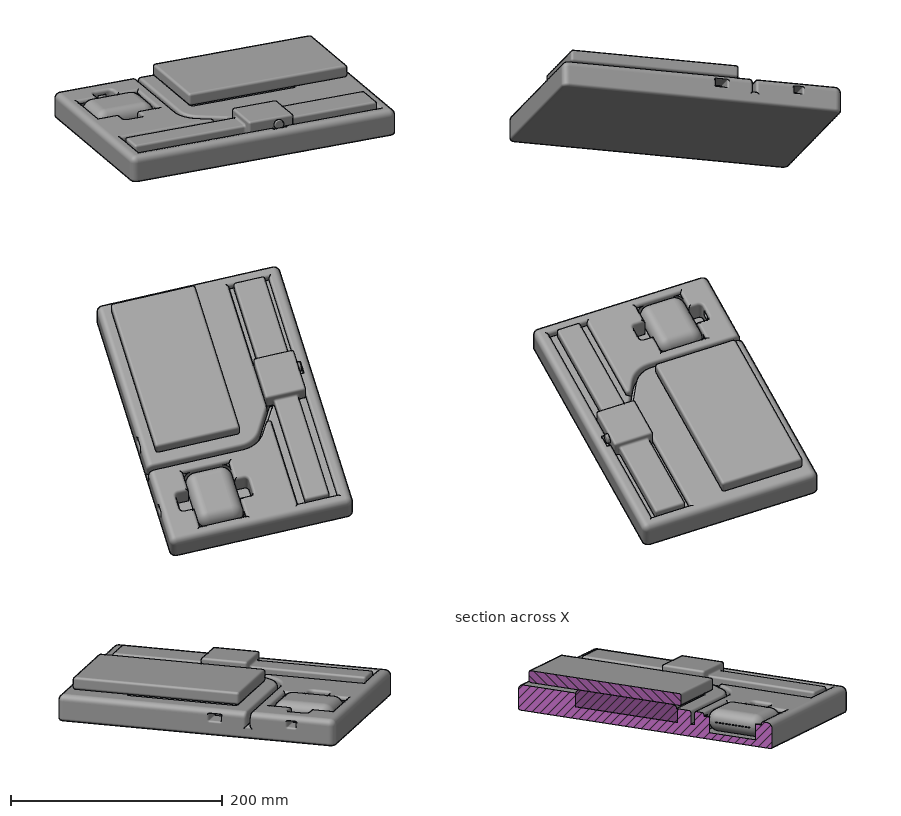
import cadquery as cq
import math

dock_width = 178.5
dock_length = 275.0
dock_height = 25.5
dock_corner_radius = 6.0
dock_bottom_radius = 2.7
tolerance = 0.3
mouth_radius = 2.7

total_height = 40.7
rest_height = 28.5
phone_width = 82.0
phone_length = 165.0
phone_center = (-36.5, 43.5)
phone_radius = 2.5

pack_width = 68.7
pack_length = 109.5
pack_height = 16.5
pack_center = (-35.5, 20.3)
pack_radius = 3.3

earbud_width = 45.0
earbud_length = 60.5
earbud_height = 21.7
earbud_center = (pack_center[0], -94.5)
earbud_radius = 10.7
earbud_bottom = rest_height - earbud_height
earbud_pocket_length = 61.5
seat_mouth_depth = 1.2 * mouth_radius
pocket_corner_radius = 6.5
grip_span = 71.2
grip_width = 20.0
grip_corner_radius = 3.5

watch_width = 39.0
watch_length = 46.2
watch_top = 34.6
watch_center = (57.2, 13.0)
watch_radius = 2.2
strap_end = 125.0
upper_strap_width = 30.0
upper_strap_top = 29.7
lower_strap_width = 23.5
lower_strap_top = 28.3
strap_radius = 2.2
joint_radius = strap_radius - 0.05
slot_depth = 5.5
slot_floor = dock_height - slot_depth

crown_diameter = 9.3
crown_y = 20.0
crown_z = 27.8
crown_end_x = 79.5
crown_radius = 0.8
crown_notch_diameter = 14.0
crown_notch_end_x = 81.0

groove_width = 3.3
groove_depth = 13.2
groove_y = -51.5
groove_bend_x = 3.5
groove_bend_radius = 25.0
groove_bend_angle = 60.0
groove_end_y = -8.2

port_mouth_radius = 2.0
port_corner_radius = 0.8
pack_port_center = (-18.7, 17.5)
pack_port_size = (11.8, 7.1)
earbud_port_center = (-94.5, 18.0)
earbud_port_size = (8.2, 6.3)


def block(width, length, bottom, top, center):
    x, y = center
    return cq.Workplane("XY", origin=(x, y, bottom)).rect(width, length).extrude(top - bottom)


def open_to_top(cutter):
    """Widen a cutter so that it leaves a rounded mouth in the dock's flat top."""
    plate = block(2 * dock_width, 2 * dock_length, 0, dock_height, (0, 0))
    plate_inside = cq.selectors.BoxSelector(
        (-dock_width / 2, -dock_length / 2, 0), (dock_width / 2, dock_length / 2, 2 * dock_height)
    )
    mouth = plate.cut(cutter).faces(">Z").edges(plate_inside)
    return plate.cut(mouth.fillet(mouth_radius))


def open_to_side(cutter):
    """Widen a cutter so that it leaves a rounded mouth in the dock's -X side."""
    plate = block(dock_width, 2 * dock_length, -dock_height, 2 * dock_height, (0, 0))
    plate_inside = cq.selectors.BoxSelector(
        (-dock_width, -dock_length / 2, 0), (0, dock_length / 2, dock_height)
    )
    mouth = plate.cut(cutter).faces("<X").edges(plate_inside)
    return plate.cut(mouth.fillet(port_mouth_radius))


def x_cylinder(diameter, start_x, end_x):
    """A round bar along X on the axis of the watch crown."""
    return (
        cq.Workplane("YZ", origin=(start_x, crown_y, crown_z))
        .circle(diameter / 2)
        .extrude(end_x - start_x)
    )


def dock_blank():
    blank = block(dock_width, dock_length, 0, dock_height, (0, 0))
    blank = blank.edges("|Z or >Z").fillet(dock_corner_radius)
    return blank.faces("<Z").edges().fillet(dock_bottom_radius)


def earbud_pocket():
    mouth_bottom = dock_height - seat_mouth_depth
    seat_mouth = block(earbud_width, earbud_pocket_length, mouth_bottom, dock_height, earbud_center)
    seat = block(earbud_width, earbud_pocket_length, earbud_bottom, dock_height, earbud_center)
    seat = seat.edges("|Z").fillet(pocket_corner_radius)
    grips = block(grip_span, grip_width, earbud_bottom, dock_height, earbud_center)
    grips = grips.edges("|Z").fillet(grip_corner_radius)
    return open_to_top(seat_mouth).union(open_to_top(grips)).union(seat)


def watch_slot():
    return block(watch_width, 2 * strap_end, slot_floor, dock_height, (watch_center[0], 0))


def crown_notch():
    return x_cylinder(crown_notch_diameter, watch_center[0], crown_notch_end_x)


def cable_path():
    angle = math.radians(groove_bend_angle)
    bend_end = (
        groove_bend_x + groove_bend_radius * math.sin(angle),
        groove_y + groove_bend_radius * (1 - math.cos(angle)),
    )
    bend_middle = (
        groove_bend_x + groove_bend_radius * math.sin(angle / 2),
        groove_y + groove_bend_radius * (1 - math.cos(angle / 2)),
    )
    end_x = bend_end[0] + (groove_end_y - bend_end[1]) / math.tan(angle)
    return (
        cq.Workplane("XY", origin=(0, 0, dock_height - groove_depth))
        .moveTo(-dock_width / 2, groove_y)
        .lineTo(groove_bend_x, groove_y)
        .threePointArc(bend_middle, bend_end)
        .lineTo(end_x, groove_end_y)
    )


def cable_groove():
    return cable_path().offset2D(groove_width / 2).extrude(groove_depth)


def with_slot_and_groove(dock):
    """Cut the watch slot and the cable groove, and round every edge of their shared mouth."""
    opened = dock.cut(watch_slot()).cut(cable_groove())
    rim_x = dock_width / 2 - dock_corner_radius
    rim_y = dock_length / 2 - dock_corner_radius
    slot_left = watch_center[0] - watch_width / 2
    top_mouth = opened.faces(">Z").edges(cq.selectors.BoxSelector(
        (tolerance - rim_x, tolerance - rim_y, 0),
        (rim_x - tolerance, rim_y - tolerance, 2 * dock_height),
    ))
    side_mouth = opened.edges(cq.selectors.BoxSelector(
        (-dock_width, groove_y - groove_width, 0),
        (-rim_x - tolerance, groove_y + groove_width, dock_height),
    ))
    groove_in_slot = opened.edges(cq.selectors.BoxSelector(
        (slot_left - tolerance, groove_y, slot_floor - tolerance),
        (watch_center[0], 0, dock_height - tolerance),
    ))
    return top_mouth.add(side_mouth).add(groove_in_slot).fillet(mouth_radius)


def port(center, size, end_x):
    """A tunnel from the -X side to the pocket of a device."""
    y, z = center
    width, height = size
    tunnel = (
        cq.Workplane("YZ", origin=(-dock_width, y, z))
        .rect(width, height)
        .extrude(dock_width + end_x)
        .edges("|X")
        .fillet(port_corner_radius)
    )
    return open_to_side(tunnel)


def make_dock():
    dock = dock_blank()
    dock = with_slot_and_groove(dock)
    dock = dock.cut(earbud_pocket()).cut(crown_notch())
    dock = dock.cut(port(pack_port_center, pack_port_size, pack_center[0]))
    dock = dock.cut(port(earbud_port_center, earbud_port_size, earbud_center[0]))
    return dock.cut(make_battery_pack())


def make_phone():
    phone = block(phone_width, phone_length, rest_height, total_height, phone_center)
    return phone.edges().fillet(phone_radius)


def make_battery_pack():
    pack = block(pack_width, pack_length, rest_height - pack_height, rest_height, pack_center)
    return pack.edges("|Z or >Z").fillet(pack_radius)


def make_earbud_case():
    case = block(earbud_width, earbud_length, earbud_bottom, rest_height, earbud_center)
    return case.edges().fillet(earbud_radius)


def make_watch():
    x, y = watch_center
    body = block(watch_width, watch_length, slot_floor, watch_top, watch_center)
    body = body.edges("|Z or >Z").fillet(watch_radius)
    upper_strap = block(
        upper_strap_width, strap_end - y, slot_floor, upper_strap_top, (x, (strap_end + y) / 2)
    )
    upper_strap = upper_strap.edges(">Z or (|Z and >Y)").fillet(strap_radius)
    lower_strap = block(
        lower_strap_width, strap_end + y, slot_floor, lower_strap_top, (x, (y - strap_end) / 2)
    )
    lower_strap = lower_strap.edges(">Z or (|Z and <Y)").fillet(strap_radius)
    watch = body.union(upper_strap).union(lower_strap)
    for side in (-1, 1):
        joint_y = y + side * watch_length / 2
        joint = watch.edges(cq.selectors.BoxSelector(
            (x - watch_width / 2 + watch_radius, joint_y - tolerance, slot_floor + tolerance),
            (x + watch_width / 2 - watch_radius, joint_y + tolerance, watch_top - watch_radius - 0.03),
        ))
        watch = joint.fillet(joint_radius)
    crown = x_cylinder(crown_diameter, x, crown_end_x).faces(">X").edges().fillet(crown_radius)
    return watch.union(crown)


dock = make_dock()
phone = make_phone()
battery_pack = make_battery_pack()
earbud_case = make_earbud_case()
watch = make_watch()

result = cq.Compound.makeCompound(
    [dock.val(), phone.val(), battery_pack.val(), earbud_case.val(), watch.val()]
)